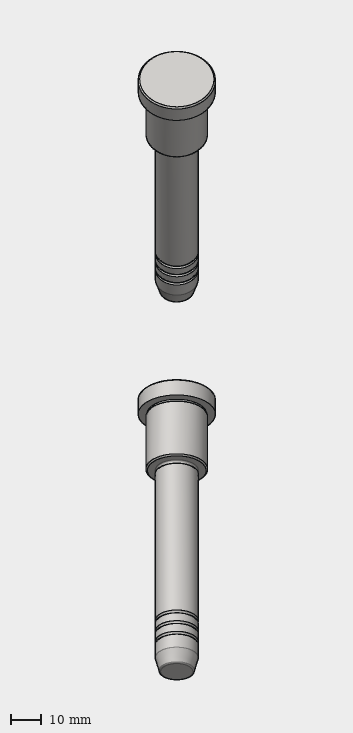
import cadquery as cq
import math

length = 102.0
head_diameter = 25.0
head_height = 6.0
head_chamfer = 0.5
body_diameter = 20.0
body_bottom = length - 27.0
body_chamfer = 0.5
shaft_diameter = 14.0

head_relief_width = 0.6
head_relief_depth = 0.3

shaft_relief_width = 1.2
shaft_relief_depth = 0.6

groove_radius = 0.5
groove_count = 3
groove_pitch = 4.0
lowest_groove_height = 10.5

taper_height = 5.1
taper_angle = 15.0
tip_fillet = 0.5


def cylinder(diameter, bottom, top):
    return cq.Workplane("XY").workplane(offset=bottom).circle(diameter / 2).extrude(top - bottom)


def make_head():
    head = cylinder(head_diameter, length - head_height, length)
    return head.faces(">Z").edges().chamfer(head_chamfer)


def make_body():
    neck_top = length - head_height
    body_top = neck_top - head_relief_width
    body = cylinder(body_diameter, body_bottom, body_top)
    body = body.faces("<Z").edges().chamfer(body_chamfer)
    body = body.faces(">Z").edges().chamfer(head_relief_depth)
    neck = cylinder(body_diameter - 2 * head_relief_depth, body_top, neck_top)
    return body.union(neck)


def make_shaft():
    radius = shaft_diameter / 2
    tip_radius = radius - taper_height * math.tan(math.radians(taper_angle))
    neck_radius = radius - shaft_relief_depth
    relief_bottom = body_bottom - shaft_relief_width
    profile = (
        cq.Workplane("XZ")
        .lineTo(tip_radius, 0)
        .lineTo(radius, taper_height)
        .lineTo(radius, relief_bottom)
        .threePointArc((neck_radius, body_bottom - shaft_relief_width / 2), (radius, body_bottom))
        .lineTo(0, body_bottom)
        .close()
    )
    shaft = profile.revolve(360, (0, 0, 0), (0, 1, 0))
    return shaft.faces("<Z").edges().fillet(tip_fillet)


def make_ring_groove(height):
    section = cq.Workplane("XZ").center(shaft_diameter / 2, height).circle(groove_radius)
    return section.revolve(360, (-shaft_diameter / 2, 0, 0), (-shaft_diameter / 2, 1, 0))


result = make_head().union(make_body()).union(make_shaft())
for index in range(groove_count):
    result = result.cut(make_ring_groove(lowest_groove_height + index * groove_pitch))